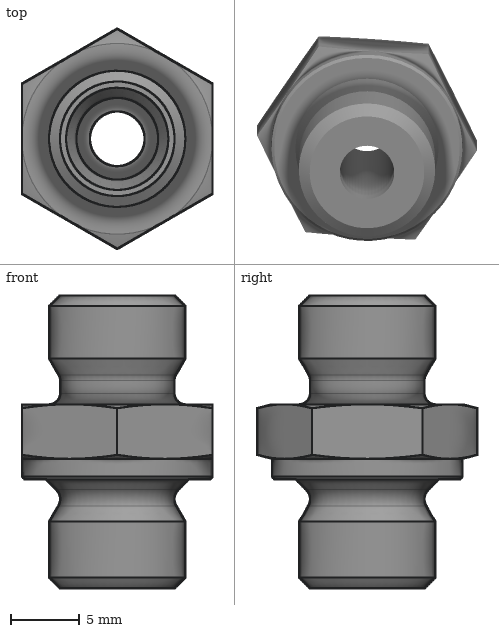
import cadquery as cq
import math

total_height = 21.5
end_length = 8.0
flange_thickness = 1.5
flange_top = end_length + flange_thickness
hex_top = total_height - end_length

across_flats = 14.0
flange_radius = across_flats / 2
thread_radius = 10.0 / 2
neck_radius = 8.4 / 2

end_chamfer = 0.8
flange_chamfer = 0.2
hex_chamfer_angle = math.radians(15)

neck_slope = math.radians(30)
neck_fillet = 0.8
lower_thread_top = 4.9
upper_thread_bottom = 16.85
flange_slope = math.radians(45)
groove_arc = 0.99

bore_diameter = 4.0
tube_radius = 6.0 / 2
socket_mouth_radius = 7.5 / 2
socket_half_angle = math.radians(12)
socket_depth = 5.5


def revolve(profile):
    """Turn a closed radius-height profile about the Z axis."""
    return profile.close().revolve(360, (0, 0, 0), (0, 1, 0))


def make_turned_body():
    """Threaded ends, undercuts and round flange."""
    undercut_height = (thread_radius - neck_radius) / math.tan(neck_slope)
    tangent = neck_fillet * math.tan(neck_slope / 2)
    tangent_rise = tangent * math.cos(neck_slope)
    tangent_run = tangent * math.sin(neck_slope)
    arc_mid_rise = neck_fillet * math.sin(neck_slope / 2)
    arc_mid_run = neck_fillet * (1 - math.cos(neck_slope / 2))
    arc_end_radius = neck_radius + tangent_run

    groove_low_radius = neck_radius + groove_arc * (1 - math.cos(neck_slope))
    groove_low = lower_thread_top + (thread_radius - groove_low_radius) / math.tan(neck_slope)
    groove_center = groove_low + groove_arc * math.sin(neck_slope)
    groove_high_radius = neck_radius + groove_arc * (1 - math.cos(flange_slope))
    groove_high = groove_center + groove_arc * math.sin(flange_slope)
    seat_radius = groove_high_radius + (end_length - groove_high) * math.tan(flange_slope)

    upper_neck_top = upper_thread_bottom - undercut_height
    hex_fillet_mid = neck_fillet * (1 - math.sqrt(0.5))
    profile = (
        cq.Workplane("XZ")
        .lineTo(thread_radius - end_chamfer, 0)
        .lineTo(thread_radius, end_chamfer)
        .lineTo(thread_radius, lower_thread_top)
        .lineTo(groove_low_radius, groove_low)
        .threePointArc((neck_radius, groove_center), (groove_high_radius, groove_high))
        .lineTo(seat_radius, end_length)
        .lineTo(flange_radius - flange_chamfer, end_length)
        .lineTo(flange_radius, end_length + flange_chamfer)
        .lineTo(flange_radius, hex_top)
        .lineTo(neck_radius + neck_fillet, hex_top)
        .threePointArc(
            (neck_radius + hex_fillet_mid, hex_top + hex_fillet_mid),
            (neck_radius, hex_top + neck_fillet),
        )
        .lineTo(neck_radius, upper_neck_top - tangent)
        .threePointArc(
            (neck_radius + arc_mid_run, upper_neck_top - tangent + arc_mid_rise),
            (arc_end_radius, upper_neck_top + tangent_rise),
        )
        .lineTo(thread_radius, upper_thread_bottom)
        .lineTo(thread_radius, total_height - end_chamfer)
        .lineTo(thread_radius - end_chamfer, total_height)
        .lineTo(0, total_height)
    )
    return revolve(profile)


def make_hexagon():
    """Hexagon with corners on the Y axis, chamfered at both faces."""
    corner_radius = across_flats / math.sqrt(3)
    corner_drop = (corner_radius - flange_radius) * math.tan(hex_chamfer_angle)
    prism = (
        cq.Workplane("XY", origin=(0, 0, flange_top))
        .polygon(6, 2 * corner_radius)
        .extrude(hex_top - flange_top)
        .rotate((0, 0, 0), (0, 0, 1), 90)
    )
    envelope = revolve(
        cq.Workplane("XZ")
        .moveTo(0, flange_top)
        .lineTo(flange_radius, flange_top)
        .lineTo(corner_radius, flange_top + corner_drop)
        .lineTo(corner_radius, hex_top - corner_drop)
        .lineTo(flange_radius, hex_top)
        .lineTo(0, hex_top)
    )
    return prism.intersect(envelope)


def make_passage():
    """Through bore opening into a tapered tube socket at the top."""
    taper_depth = (socket_mouth_radius - tube_radius) / math.tan(socket_half_angle)
    socket = revolve(
        cq.Workplane("XZ")
        .moveTo(0, total_height - socket_depth)
        .lineTo(tube_radius, total_height - socket_depth)
        .lineTo(tube_radius, total_height - taper_depth)
        .lineTo(socket_mouth_radius, total_height)
        .lineTo(0, total_height)
    )
    bore = cq.Workplane("XY").circle(bore_diameter / 2).extrude(total_height)
    return bore.union(socket)


result = make_turned_body().union(make_hexagon()).cut(make_passage())